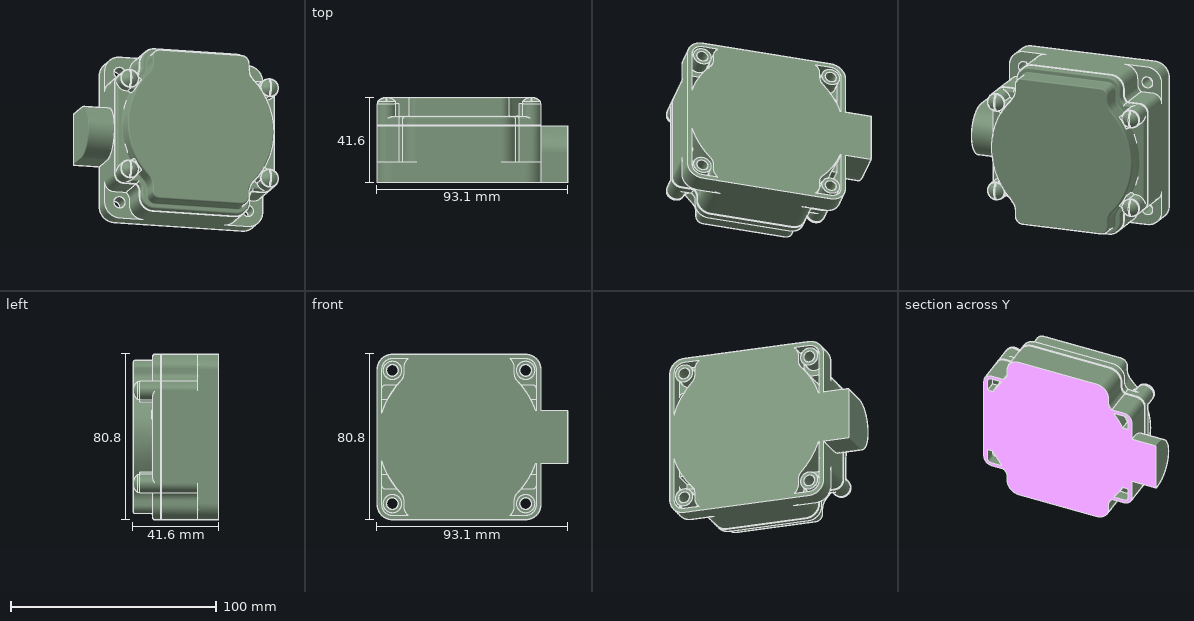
import cadquery as cq
import math

overall_length = 93.1
total_depth = 41.6
housing_width = 80.1
housing_height = 80.8
half_width = housing_width / 2
half_height = housing_height / 2

flange_depth = 10.15
flange_corner_radius = 7.6
hole_spacing = 65.0
hole_diameter = 5.6
sleeve_diameter = 8.9

neck_flat_half = 20.7
neck_corner_radius = 6.8
neck_root_radius = 4.6
body_radius = half_width
pillar_radius = 4.7
pillar_z = 22.7
pillar_x = half_width - pillar_radius

seam_depth = 27.8
seam_width = 0.5
seam_inset = 0.2
cover_start = seam_depth + seam_width
cover_depth = 32.2
cover_edge_radius = 1.1
drum_inset = 3.0
drum_root_radius = 0.6
drum_edge_radius = 0.8

pillar_tip = 38.6
pillar_edge_radius = 0.6
pillar_web_width = 6.9
head_radius = 4.4
head_rim = 39.5
slot_width = 0.6
slot_floor = 39.9

side_rim_width = 2.3
end_rim_width = 2.1
pocket_wall_inset = 0.6
pocket_depth = 7.7
recess_depth = 18.6
recess_top = 25.3
recess_bottom = 18.3
recess_corner_radius = 1.8

connector_end = overall_length - half_width
connector_width = 25.9
connector_depth = 27.8
connector_edge_radius = 0.4


def front_plane(depth):
    """Sketch plane at Y = depth, with local x = X, local y = Z and extrusion toward +Y when negative."""
    return cq.Workplane("XZ", origin=(0, depth, 0))


def slab(sketch, length):
    """Extrude a sketch toward +Y."""
    return sketch.extrude(-length)


def four_corners(solid):
    """Copy a shape made in the -X, +Z corner into all four corners."""
    upper = solid.union(solid.mirror("YZ"))
    return upper.union(upper.mirror("XY"))


def arc_point(center, radius, degrees):
    """Point on a circle at an angle measured counterclockwise from the first axis."""
    angle = math.radians(degrees)
    return (center[0] + radius * math.cos(angle), center[1] + radius * math.sin(angle))


def round_and_neck(inset, depth, length):
    """Round body joined to a flat-ended neck along Z, with its whole outline moved inward by inset."""
    radius = body_radius - inset
    root_radius = neck_root_radius + inset
    corner_radius = neck_corner_radius - inset
    top = half_height - inset
    neck_x = neck_flat_half + corner_radius
    root_x = neck_x + root_radius
    root_z = math.sqrt((radius + root_radius) ** 2 - root_x ** 2)
    root_angle = math.degrees(math.atan2(root_z, root_x))
    root_center = (-root_x, root_z)
    join = arc_point((0, 0), radius, 180 - root_angle)
    root_mid = arc_point(root_center, root_radius, -root_angle / 2)
    corner_center = (-neck_flat_half, top - corner_radius)
    corner_mid = arc_point(corner_center, corner_radius, 135)

    quarter = (
        front_plane(depth)
        .lineTo(-radius, 0)
        .threePointArc(arc_point((0, 0), radius, 180 - root_angle / 2), join)
        .threePointArc(root_mid, (-neck_x, root_z))
        .lineTo(-neck_x, corner_center[1])
        .threePointArc(corner_mid, (-neck_flat_half, top))
        .lineTo(0, top)
        .close()
    )
    return four_corners(slab(quarter, length)).clean()


def housing_block(depth, length, inset=0.0):
    """Round and neck outline widened by a rounded block that carries the four pillars."""
    width = housing_width - 2 * inset
    height = 2 * (pillar_z + pillar_radius - inset)
    block = slab(front_plane(depth).rect(width, height), length)
    block = block.edges("|Y").fillet(pillar_radius - inset)
    return block.union(round_and_neck(inset, depth, length)).clean()


def flange():
    """Rounded rectangular mounting plate."""
    plate = slab(front_plane(0).rect(housing_width, housing_height), flange_depth)
    return plate.edges("|Y").fillet(flange_corner_radius)


def head_arc_middle():
    """Point halfway along the dome arc, as distance from the head axis and Y."""
    rise = total_depth - head_rim
    sphere_radius = (head_radius ** 2 + rise ** 2) / (2 * rise)
    half_angle = math.asin(head_radius / sphere_radius) / 2
    center_y = total_depth - sphere_radius
    return (sphere_radius * math.sin(half_angle), center_y + sphere_radius * math.cos(half_angle))


def pillar():
    """Pillar in the -X, +Z corner, tied to the drum by a web and capped with a domed head."""
    length = pillar_tip - cover_start
    post = slab(front_plane(cover_start).center(-pillar_x, pillar_z).circle(pillar_radius), length)
    web_angle = math.degrees(math.atan2(pillar_z, pillar_x))
    pillar_distance = math.hypot(pillar_x, pillar_z)
    web_length = pillar_distance - body_radius / 2
    web = front_plane(cover_start).center(pillar_distance - web_length / 2, 0)
    web = slab(web.rect(web_length, pillar_web_width), length)
    web = web.rotate((0, 0, 0), (0, 1, 0), web_angle - 180)
    post = post.union(web).faces(">Y").edges().fillet(pillar_edge_radius)

    head = (
        cq.Workplane("XY")
        .moveTo(0, cover_depth)
        .lineTo(head_radius, cover_depth)
        .lineTo(head_radius, head_rim)
        .threePointArc(head_arc_middle(), (0, total_depth))
        .close()
        .revolve(360, (0, 0), (0, 1))
        .translate((-pillar_x, 0, pillar_z))
    )
    slot_depth = total_depth - slot_floor
    slot = cq.Workplane("XY").box(slot_width, slot_depth, 2 * head_radius)
    slot = slot.translate((-pillar_x, slot_floor + slot_depth / 2, pillar_z))
    return post.union(head.cut(slot))


def pocket():
    """Pocket in the -X, +Z corner: between the rim and the housing wall, around a screw sleeve."""
    width = housing_width - 2 * side_rim_width
    height = housing_height - 2 * end_rim_width
    area = slab(front_plane(0).rect(width, height), pocket_depth)
    area = area.edges("|Y").fillet(flange_corner_radius - side_rim_width)
    sleeve = front_plane(0).center(-hole_spacing / 2, hole_spacing / 2).circle(sleeve_diameter / 2)
    shallow = area.cut(slab(sleeve, pocket_depth))

    recess_middle = (recess_top + recess_bottom) / 2
    recess = front_plane(0).center(0, recess_middle).rect(width, recess_top - recess_bottom)
    recess = slab(recess, recess_depth).edges("|Y and <X and >Z").fillet(recess_corner_radius)
    pocket_wall = round_and_neck(pocket_wall_inset, 0, recess_depth)
    return shallow.union(recess).cut(pocket_wall)


def connector():
    """Block with a half-round back, running along X."""
    radius = connector_width / 2
    block = (
        cq.Workplane("YZ")
        .moveTo(0, -radius)
        .lineTo(connector_depth - radius, -radius)
        .threePointArc((connector_depth, 0), (connector_depth - radius, radius))
        .lineTo(0, radius)
        .close()
        .extrude(connector_end)
    )
    return block.faces(">X").edges("not <Y").fillet(connector_edge_radius)


def top_shell():
    """Cover with its raised drum; the drum is filleted at its root and its top edge."""
    cover = housing_block(cover_start, cover_depth - cover_start)
    cover = cover.faces(">Y").edges().fillet(cover_edge_radius)
    drum = round_and_neck(drum_inset, cover_start, total_depth - cover_start)
    drum = drum.faces(">Y").edges().fillet(drum_edge_radius)
    shell = cover.union(drum)
    drum_root = shell.faces(">Y[-2]").wires(cq.selectors.LengthNthSelector(0)).edges()
    return drum_root.fillet(drum_root_radius)


def screw_hole():
    """Flange hole in the -X, +Z corner."""
    sketch = front_plane(0).center(-hole_spacing / 2, hole_spacing / 2).circle(hole_diameter / 2)
    return slab(sketch, flange_depth)


def housing_quarter():
    """The -X, +Z quarter of the symmetric housing."""
    quadrant = cq.Workplane("XY").box(half_width, total_depth, half_height, centered=False)
    quadrant = quadrant.translate((-half_width, 0, 0))
    quarter = top_shell().union(pillar())
    quarter = quarter.union(housing_block(seam_depth, seam_width, seam_inset))
    quarter = quarter.union(housing_block(flange_depth, seam_depth - flange_depth))
    quarter = quarter.union(flange()).intersect(quadrant)
    return quarter.cut(pocket()).cut(screw_hole())


result = four_corners(housing_quarter()).union(connector()).clean()